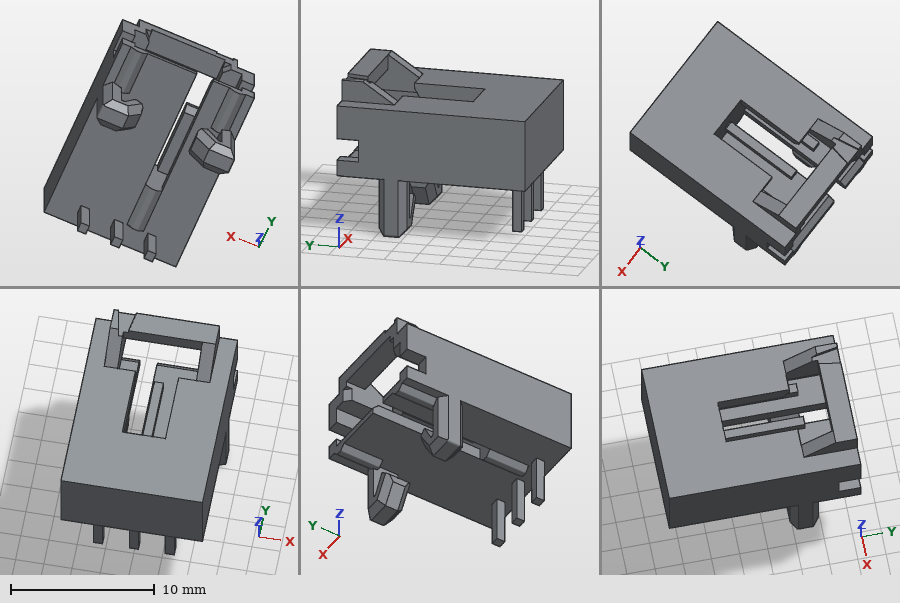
import cadquery as cq


width = 10.03
depth = 13.59
height = 5.09

cavity_half_width = 4.07
cavity_front = 4.72
floor_top = 0.93
ceiling = 4.0
mouth_chamfer = 0.45

key_slot_half_width = 1.53
mouth_front = 9.80
relief_x = -1.26
relief_width = 1.26
edge_relief_length = 0.4
edge_relief_height = 0.7
side_notch_length = 1.55
side_notch_bottom = 1.13
side_notch_top = 2.69

bridge_height = 1.50
bridge_half_width = 3.74
arm_thickness = 0.95
bar_length = 1.53
bar_thickness = 1.05
groove_depth = 0.25
groove_left = -3.42
groove_right = -2.16
groove_taper = 0.18

pin_pitch = 2.54
pin_size = 0.64
pin_tip = 10.55
pin_top = 2.89
leg_front = 0.85
leg_length = 3.69
shoulder_length = 0.09
shoulder_rise = 0.05

foot_height = 0.38
foot_half_top = 0.63
foot_half_bottom = 0.20
foot_fillet = 0.12
foot_length = 3.22
rear_foot_x = 3.74

peg_length = 4.20
peg_front = 8.66
peg_depth = 2.03
peg_chamfer = 0.51
peg_toe_radius = 0.20
peg_embed = 0.3
post_inner = 3.84
arm_foot_x = 3.07
arm_tip_x = 2.10
arm_tip_bottom = -2.69
arm_tip_top = -2.14
arm_end_slope = 0.85
gap_bottom = -3.07
gap_bottom_width = 0.28
gap_fillet = 0.13
arm_inner_slope = 1.79

top = height + bridge_height
bar_front = depth - bar_length
opening_half_width = bridge_half_width - arm_thickness


def block(x0, x1, y0, y1, z0, z1):
    """Axis-aligned box between two opposite corners."""
    return cq.Workplane("XY").box(x1 - x0, y1 - y0, z1 - z0, centered=False).translate((x0, y0, z0))


def extrude_along_y(points, y0, y1):
    """Prism with an XZ outline, running from y0 to y1."""
    return cq.Workplane("XZ", origin=(0, y0, 0)).polyline(points).close().extrude(y0 - y1)


def extrude_along_x(points, half_width):
    """Prism with a YZ outline, symmetric about X = 0."""
    return cq.Workplane("YZ").polyline(points).close().extrude(half_width, both=True)


def make_housing():
    half = width / 2
    body = block(-half, half, 0, depth, 0, height)
    body = body.cut(block(-cavity_half_width, cavity_half_width, cavity_front, depth, floor_top, ceiling))

    body = body.cut(
        block(-key_slot_half_width, key_slot_half_width, cavity_front, depth, floor_top, height)
    )
    body = body.cut(
        block(-opening_half_width, opening_half_width, mouth_front, depth, floor_top, height)
    )

    body = body.cut(
        block(relief_x - relief_width / 2, relief_x + relief_width / 2, cavity_front, depth, 0, floor_top)
    )

    body = body.cut(
        block(-half, half, depth - side_notch_length, depth, side_notch_bottom, side_notch_top)
    )

    body = body.cut(
        extrude_along_x(
            [
                (mouth_front - edge_relief_length, ceiling),
                (mouth_front, ceiling),
                (mouth_front, ceiling + edge_relief_height),
            ],
            opening_half_width,
        )
    )
    return cut_mouth_chamfers(body)


def cut_mouth_chamfers(body):
    """Lead-in chamfers on the floor and on both sides of the top opening."""
    floor_wedge = extrude_along_x(
        [
            (depth - mouth_chamfer, floor_top),
            (depth, floor_top),
            (depth, floor_top - mouth_chamfer),
        ],
        cavity_half_width,
    )
    opening_wedge = (
        cq.Workplane("XY", origin=(0, 0, ceiling))
        .polyline(
            [
                (opening_half_width, depth - mouth_chamfer),
                (opening_half_width + mouth_chamfer, depth),
                (opening_half_width, depth),
            ]
        )
        .close()
        .extrude(height - ceiling)
    )
    return body.cut(floor_wedge).cut(opening_wedge).cut(opening_wedge.mirror("YZ"))


def make_bridge():
    bridge = extrude_along_x(
        [(mouth_front, height), (depth, height), (depth, top), (bar_front, top)],
        bridge_half_width,
    )
    bridge = bridge.cut(
        block(-opening_half_width, opening_half_width, mouth_front, bar_front, height, top)
    )
    bridge = bridge.cut(
        block(-opening_half_width, opening_half_width, bar_front, depth, height, top - bar_thickness)
    )

    run = depth - mouth_front
    groove = (
        cq.Workplane("XY", origin=(0, 0, top - groove_depth))
        .polyline(
            [
                (groove_left, depth),
                (groove_right, depth),
                (groove_right - groove_taper * run, mouth_front),
                (groove_left + groove_taper * run, mouth_front),
            ]
        )
        .close()
        .extrude(groove_depth)
    )
    return bridge.cut(groove)


def make_pin(x):
    x0 = x - pin_size / 2
    x1 = x + pin_size / 2
    pin = block(x0, x1, leg_front, pin_tip, pin_top - pin_size, pin_top)
    pin = pin.union(block(x0, x1, leg_front, leg_front + pin_size, -leg_length, pin_top))
    shoulder_end = cavity_front + shoulder_length
    return pin.union(block(x0, x1, leg_front, shoulder_end, pin_top - pin_size, pin_top + shoulder_rise))


def make_foot(x, y0):
    foot = extrude_along_y(
        [
            (x - foot_half_top, 0),
            (x + foot_half_top, 0),
            (x + foot_half_bottom, -foot_height),
            (x - foot_half_bottom, -foot_height),
        ],
        y0,
        y0 + foot_length,
    )
    return foot.edges("|Y and <Z").fillet(foot_fillet)


def make_peg():
    """Left board-lock peg: an outer post with a spring arm folded back inward."""
    outer = -width / 2
    peg_back = peg_front + peg_depth
    end_line_rise = arm_end_slope * (-arm_tip_x - outer)
    hook = extrude_along_y(
        [
            (outer, -peg_length),
            (-arm_foot_x, -peg_length),
            (-arm_tip_x, arm_tip_bottom),
            (-arm_tip_x, arm_tip_top),
            (outer, arm_tip_top + end_line_rise),
        ],
        peg_front,
        peg_back,
    )
    arm_middle = (-(arm_foot_x + arm_tip_x) / 2, peg_front, (arm_tip_bottom - peg_length) / 2)
    underside = hook.faces("not |Y").faces(cq.selectors.NearestToPointSelector(arm_middle))
    chamfered_faces = hook.faces("<X or <Z").add(underside)
    hook = hook.newObject(chamfered_faces.edges("not |Y").vals()).chamfer(peg_chamfer)
    hook = hook.edges("|Y and <Z").edges("<X").fillet(peg_toe_radius)

    post = block(outer, -post_inner, peg_front, peg_back, gap_bottom, peg_embed)
    post = post.edges("|Z and <X").chamfer(peg_chamfer)

    gap_right = -post_inner + gap_bottom_width
    gap = extrude_along_y(
        [
            (-post_inner, gap_bottom),
            (gap_right, gap_bottom),
            (gap_right - gap_bottom / arm_inner_slope, 0),
            (gap_right - gap_bottom / arm_inner_slope, peg_embed),
            (-post_inner, peg_embed),
        ],
        peg_front,
        peg_back,
    )
    gap = gap.edges("|Y and <Z").fillet(gap_fillet)
    return hook.union(post).cut(gap)


result = make_housing().union(make_bridge())
for pin_index in (-1, 0, 1):
    result = result.union(make_pin(pin_index * pin_pitch))
result = result.union(make_foot(relief_x, cavity_front - foot_length))
for side in (-1, 1):
    result = result.union(make_foot(side * rear_foot_x, depth - foot_length))
peg = make_peg()
result = result.union(peg).union(peg.mirror("YZ"))